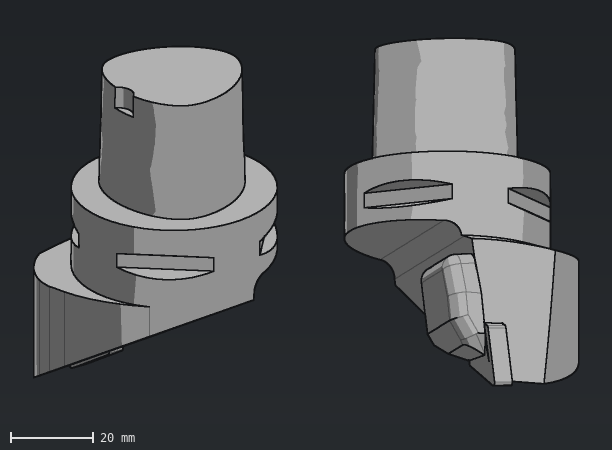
import cadquery as cq
import math


shank_height = 30.1
shank_radius = 17.7
shank_top_radius = 17.0
lobe_rise = 1.125
key_radius = 4.1
key_offset = 18.0
key_depth = 5.5

flange_diameter = 50.0
flange_radius = flange_diameter / 2
flange_height = 20.8
slot_floor_distance = 22.05
slot_middle_z = -10.0
slot_floor_width = 3.6
slot_mouth_width = 6.5
slot_count = 4

rake_angle = 7.0
rake_y = 5.0
rake_slope = math.tan(math.radians(rake_angle))
shoulder_slope = 0.34
bottom_slope = 0.611
bottom_z = -37.9
side_top_x = -31.2
side_slope = 0.06
reach = 54.0
tool_depth = 72.0

relief_outer_y = 27.0
relief_outer_z = -15.9
relief_inner_y = 9.3
relief_inner_z = -17.2
relief_radius = 4.1

clamp_end_x = -13.5
clamp_top_z = -25.7
clamp_round = 3.6

insert_edge = 15.5
insert_thickness = 4.8
insert_nose_radius = 0.8
insert_tip_x = -35.2
insert_tip_z = -60.7
insert_side_angle = 87.0
insert_corner_angle = 55.0
insert_tip_y = 0.1
insert_slope_x = 0.09
insert_slope_z = 0.105


def rake_face_y(z):
    return rake_y + rake_slope * (z + flange_height)


def underside_z(x):
    return bottom_z + bottom_slope * x


def side_x(z):
    return side_top_x + side_slope * (z + flange_height)


def lobed_point(radius, angle):
    """Point of a three-lobed curve with one lobe on +Y, from its support function."""
    phase = 3 * (angle - math.pi / 2)
    support = radius + lobe_rise * math.cos(phase)
    slope = -3 * lobe_rise * math.sin(phase)
    return (
        support * math.cos(angle) - slope * math.sin(angle),
        support * math.sin(angle) + slope * math.cos(angle),
    )


def lobed_wire(radius, z):
    return (
        cq.Workplane("XY", origin=(0, 0, z))
        .parametricCurve(lambda t: lobed_point(radius, 2 * math.pi * t))
        .val()
    )


def make_shank():
    wires = [lobed_wire(shank_radius, 0), lobed_wire(shank_top_radius, shank_height)]
    shank = cq.Workplane(cq.Solid.makeLoft(wires, True))
    keyway = (
        cq.Workplane("XY", origin=(0, -key_offset, shank_height - key_depth))
        .circle(key_radius)
        .extrude(key_depth)
    )
    return shank.cut(keyway)


def make_gripper_slot(angle):
    depth = flange_radius - slot_floor_distance
    flare = (slot_mouth_width - slot_floor_width) / 2
    outer_width = slot_mouth_width / 2 + flare
    outer_distance = slot_floor_distance + 2 * depth
    return (
        cq.Workplane("XZ", origin=(0, flange_radius, slot_middle_z))
        .polyline([
            (slot_floor_distance, -slot_floor_width / 2),
            (outer_distance, -outer_width),
            (outer_distance, outer_width),
            (slot_floor_distance, slot_floor_width / 2),
        ])
        .close()
        .extrude(flange_diameter)
        .rotate((0, 0, 0), (0, 0, 1), angle)
    )


def make_flange():
    flange = cq.Workplane("XY").circle(flange_radius).extrude(-flange_height)
    for index in range(slot_count):
        flange = flange.cut(make_gripper_slot(45 + index * 360 / slot_count))
    return flange


def make_above_underside():
    return (
        cq.Workplane("XZ", origin=(0, reach, 0))
        .polyline([
            (-reach, underside_z(-reach)),
            (reach, underside_z(reach)),
            (reach, reach),
            (-reach, reach),
        ])
        .close()
        .extrude(2 * reach)
    )


def make_head():
    block_left_x = -34.65
    tangent_x = 14.9
    tangent_y = math.sqrt(flange_radius**2 - tangent_x**2)
    block = (
        cq.Workplane("XY")
        .moveTo(block_left_x, tangent_y)
        .lineTo(block_left_x, -10.1)
        .threePointArc((-27, -21.9), (-18.2, -27.4))
        .threePointArc((-15.7, -28.1), (-13.05, -28.5))
        .lineTo(-7.3, -28.5)
        .threePointArc((4.7, -26.1), (tangent_x, -tangent_y))
        .threePointArc((flange_radius, 0), (tangent_x, tangent_y))
        .close()
        .extrude(-tool_depth)
    )
    shoulder_z = -flange_height - shoulder_slope * (reach - flange_radius)
    shoulder = (
        cq.Workplane("XZ")
        .polyline([
            (0, -flange_height),
            (flange_radius, -flange_height),
            (reach, shoulder_z),
            (reach, -tool_depth),
            (0, -tool_depth),
        ])
        .close()
        .revolve(360, (0, 0), (0, 1))
    )
    left_side = (
        cq.Workplane("XZ", origin=(0, reach, 0))
        .polyline([
            (side_x(0), 0),
            (side_x(-tool_depth), -tool_depth),
            (reach, -tool_depth),
            (reach, 0),
        ])
        .close()
        .extrude(2 * reach)
    )
    return block.intersect(shoulder).intersect(left_side)


def make_relief():
    """Space above the rake face, running out under the flange in a round."""
    round_end = (rake_face_y(relief_inner_z - relief_radius), relief_inner_z - relief_radius)
    bulge = relief_radius * (1 - math.sqrt(0.5))
    round_middle = (round_end[0] + bulge, relief_inner_z - bulge)
    return (
        cq.Workplane("YZ", origin=(-reach, 0, 0))
        .moveTo(relief_outer_y, relief_outer_z)
        .lineTo(relief_inner_y, relief_inner_z)
        .threePointArc(round_middle, round_end)
        .lineTo(rake_face_y(-tool_depth), -tool_depth)
        .lineTo(relief_outer_y, -tool_depth)
        .close()
        .extrude(2 * reach)
    )


def make_clamp_boss():
    """Rounded boss: the common volume of its side and end outlines, rounded on its outer rim."""
    boss_tip_z = -51.8
    end_low_z = -54.0
    side = (
        cq.Workplane("YZ", origin=(-reach, 0, 0))
        .polyline([
            (0, clamp_top_z),
            (11.9, clamp_top_z - 1.4),
            (9.9, -43.5),
            (6.3, -49.1),
            (rake_face_y(boss_tip_z), boss_tip_z),
            (0, boss_tip_z),
        ])
        .close()
        .extrude(2 * reach)
    )
    end = (
        cq.Workplane("XZ", origin=(0, reach, 0))
        .polyline([
            (clamp_end_x, 0),
            (-31.3, 0),
            (-31.3, clamp_top_z),
            (-33.5, -36.9),
            (-32.9, -46.8),
            (-30.15, end_low_z),
            (clamp_end_x, end_low_z),
        ])
        .close()
        .extrude(2 * reach)
    )
    boss = side.intersect(end)
    rim_inner_y = 4.95
    rim = cq.selectors.BoxSelector((-reach, rim_inner_y, -reach), (clamp_end_x - 0.9, reach, 0))
    crest = boss.edges(rim).edges("|X").edges(">Z")
    left_rim = boss.edges(rim).edges("not |X").edges("not |Y")
    boss = boss.newObject(crest.vals() + left_rim.vals()).fillet(clamp_round)
    return boss.intersect(make_relief())


def make_insert():
    face = cq.Plane(
        origin=(insert_tip_x, insert_tip_y, insert_tip_z),
        xDir=(1, insert_slope_x, 0),
        normal=(insert_slope_x, -1, insert_slope_z),
    )
    side = math.radians(insert_side_angle)
    lower = math.radians(insert_side_angle - insert_corner_angle)
    side_end = (insert_edge * math.cos(side), insert_edge * math.sin(side))
    lower_end = (insert_edge * math.cos(lower), insert_edge * math.sin(lower))
    far_corner = (side_end[0] + lower_end[0], side_end[1] + lower_end[1])
    corner_edges = cq.selectors.ParallelDirSelector(face.zDir)
    return (
        cq.Workplane(face)
        .polyline([(0, 0), lower_end, far_corner, side_end])
        .close()
        .extrude(insert_thickness)
        .edges(corner_edges)
        .fillet(insert_nose_radius)
    )


insert = make_insert()
holder = (
    make_flange()
    .union(make_head())
    .cut(make_relief())
    .union(make_clamp_boss())
    .intersect(make_above_underside())
    .union(make_shank())
    .cut(insert)
)

result = cq.Compound.makeCompound([holder.val(), insert.val()])